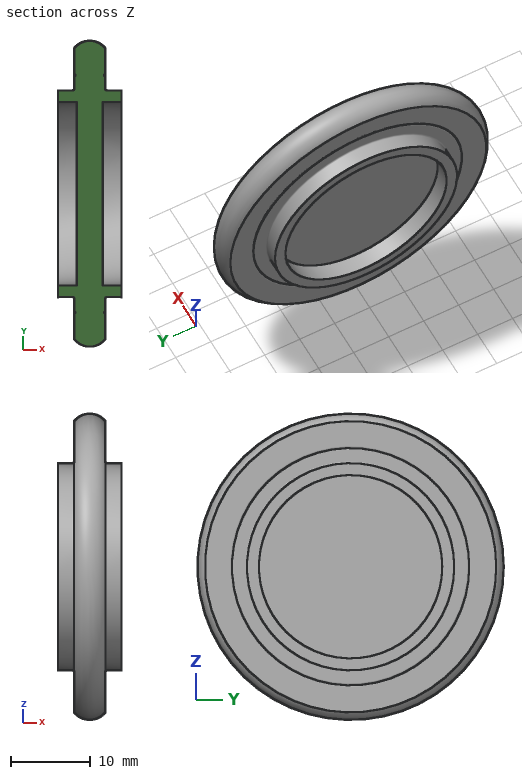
import cadquery as cq

total_width = 8.0
outer_diameter = 38.47
rim_width = 3.92
rim_face_diameter = 36.55
hub_diameter = 26.0
hub_fillet = 0.2
bore_diameter = 23.0
web_thickness = 3.27
groove_diameter = 29.78
groove_edge_radius = 0.25

half_rim = rim_width / 2


def make_rim():
    """Flat-sided disc with a crowned outer edge."""
    return (
        cq.Workplane("XY")
        .moveTo(-half_rim, 0)
        .lineTo(-half_rim, rim_face_diameter / 2)
        .threePointArc((0, outer_diameter / 2), (half_rim, rim_face_diameter / 2))
        .lineTo(half_rim, 0)
        .close()
        .revolve(360, (0, 0, 0), (1, 0, 0))
    )


def make_hub():
    """Hub passing through the rim, filleted where it meets each rim face."""
    half_width = total_width / 2
    hub_radius = hub_diameter / 2
    fillet_start = half_rim + hub_fillet
    fillet_end_radius = hub_radius + hub_fillet
    return (
        cq.Workplane("XY")
        .moveTo(-half_width, 0)
        .lineTo(-half_width, hub_radius)
        .lineTo(-fillet_start, hub_radius)
        .radiusArc((-half_rim, fillet_end_radius), -hub_fillet)
        .lineTo(half_rim, fillet_end_radius)
        .radiusArc((fillet_start, hub_radius), -hub_fillet)
        .lineTo(half_width, hub_radius)
        .lineTo(half_width, 0)
        .close()
        .revolve(360, (0, 0, 0), (1, 0, 0))
    )


def make_bore():
    """Blind bore on the -X side, from the hub end to the central web."""
    return (
        cq.Workplane("YZ", origin=(-total_width / 2, 0, 0))
        .circle(bore_diameter / 2)
        .extrude((total_width - web_thickness) / 2)
    )


def make_groove():
    """Ring groove in the -X rim face, between two rounded edges."""
    bottom_radius = groove_diameter / 2
    bottom = (-half_rim + groove_edge_radius, bottom_radius)
    return (
        cq.Workplane("XY")
        .moveTo(-half_rim, bottom_radius - groove_edge_radius)
        .radiusArc(bottom, groove_edge_radius)
        .radiusArc((-half_rim, bottom_radius + groove_edge_radius), groove_edge_radius)
        .close()
        .revolve(360, (0, 0, 0), (1, 0, 0))
    )


result = make_rim().union(make_hub())

for cutter in (make_bore(), make_groove()):
    result = result.cut(cutter).cut(cutter.mirror("YZ"))